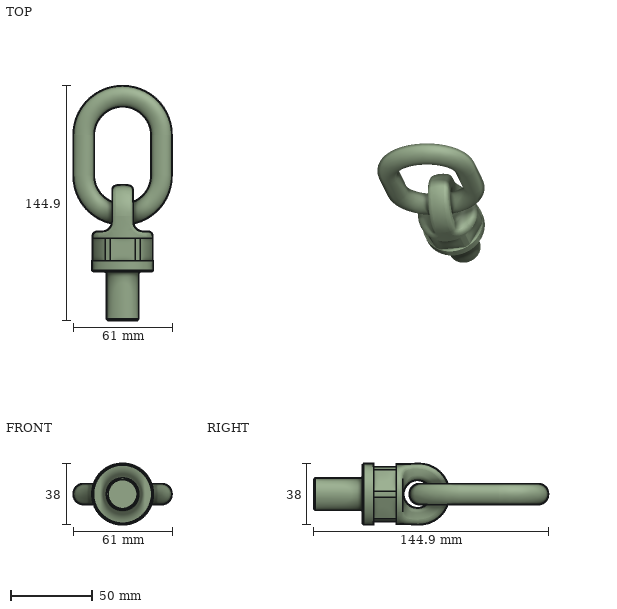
import cadquery as cq
import math


SHANK_DIAMETER = 20.0
SHANK_LENGTH = 30.0
SHANK_END_CHAMFER = 1.0
SHANK_ROOT_FILLET = 1.0
COLLAR_DIAMETER = 38.0
COLLAR_HEIGHT = 7.0
COLLAR_EDGE_CHAMFER = 1.0
HEX_ACROSS_FLATS = 33.9
HEX_HEIGHT = 13.9
HEX_TOP = COLLAR_HEIGHT + HEX_HEIGHT

HEAD_BASE_DIAMETER = 37.2
HEAD_BASE_RADIUS = HEAD_BASE_DIAMETER / 2
HEAD_TOP = 53.9
DOME_RADIUS = COLLAR_DIAMETER / 2
DOME_CENTRE = HEAD_TOP - DOME_RADIUS
EYE_THICKNESS = 13.0
EYE_HOLE_DIAMETER = 17.0
EYE_HOLE_CENTRE = 34.0
SHOULDER_HEIGHT = 25.0
NECK_FILLET = 6.1
HEAD_EDGE_FILLET = 3.0

OVERALL_LENGTH = 144.9
RING_WIRE_DIAMETER = 13.0
RING_WIDTH = 61.0
RING_STRAIGHT = 24.9
RING_BEND_RADIUS = (RING_WIDTH - RING_WIRE_DIAMETER) / 2
RING_TOP = OVERALL_LENGTH - SHANK_LENGTH
RING_UPPER_BEND = RING_TOP - RING_WIDTH / 2
RING_LOWER_BEND = RING_UPPER_BEND - RING_STRAIGHT


def cylinder_along_y(diameter, start, length):
    """Cylinder on the bolt axis from Y = start, growing towards +Y."""
    return cq.Workplane("XZ", origin=(0, start, 0)).circle(diameter / 2).extrude(-length)


def make_base():
    """Shank and collar with a hexagon whose corners are rounded to the head's lower diameter."""
    collar = cylinder_along_y(COLLAR_DIAMETER, 0, COLLAR_HEIGHT)
    collar = collar.faces("<Y").chamfer(COLLAR_EDGE_CHAMFER)
    shank = cylinder_along_y(SHANK_DIAMETER, -SHANK_LENGTH, SHANK_LENGTH)

    base = shank.union(collar)
    base = base.edges("not <Y").edges(cq.selectors.RadiusNthSelector(0)).fillet(SHANK_ROOT_FILLET)
    base = base.faces("<Y").chamfer(SHANK_END_CHAMFER)

    hex_across_corners = HEX_ACROSS_FLATS / math.cos(math.pi / 6)
    hexagon = (
        cq.Workplane("XZ", origin=(0, COLLAR_HEIGHT, 0))
        .polygon(6, hex_across_corners)
        .extrude(-HEX_HEIGHT)
        .intersect(cylinder_along_y(HEAD_BASE_DIAMETER, COLLAR_HEIGHT, HEX_HEIGHT))
    )

    return base.union(hexagon)


def make_head_blank():
    """Turned blank: a slightly conical flank that runs tangent into a spherical dome."""
    dome_rise = DOME_CENTRE - HEX_TOP
    slant = math.hypot(HEAD_BASE_RADIUS, dome_rise)
    tangent_angle = math.atan2(dome_rise, HEAD_BASE_RADIUS) - math.acos(DOME_RADIUS / slant)
    flank_top = (
        DOME_RADIUS * math.cos(tangent_angle),
        DOME_CENTRE - DOME_RADIUS * math.sin(tangent_angle),
    )
    dome_middle = (DOME_RADIUS * math.sqrt(0.5), DOME_CENTRE + DOME_RADIUS * math.sqrt(0.5))
    return (
        cq.Workplane("XY")
        .moveTo(0, HEX_TOP)
        .lineTo(HEAD_BASE_RADIUS, HEX_TOP)
        .lineTo(*flank_top)
        .threePointArc(dome_middle, (0, HEAD_TOP))
        .close()
        .revolve(360, (0, 0, 0), (0, 1, 0))
    )


def make_head():
    """Domed blank, necked on both sides to a flat eye and pierced along X."""
    head = make_head_blank()

    notch_width = HEAD_BASE_DIAMETER
    notch_height = HEAD_TOP
    notch_length = 2 * HEAD_BASE_DIAMETER
    inner_edges = {-1: ">X", 1: "<X"}
    for side, inner_edge in inner_edges.items():
        notch = (
            cq.Workplane("XY")
            .box(notch_width, notch_height, notch_length, centered=(True, False, True))
            .translate((side * (EYE_THICKNESS + notch_width) / 2, SHOULDER_HEIGHT, 0))
            .edges("<Y and |Z")
            .edges(inner_edge)
            .fillet(NECK_FILLET)
        )
        head = head.cut(notch)

    hole = (
        cq.Workplane("YZ", origin=(0, EYE_HOLE_CENTRE, 0))
        .circle(EYE_HOLE_DIAMETER / 2)
        .extrude(HEAD_BASE_DIAMETER, both=True)
    )
    head = head.cut(hole)
    return head.edges("not <Y").fillet(HEAD_EDGE_FILLET)


def make_ring():
    """Round wire bent to a long link lying in the XY plane."""
    path = (
        cq.Workplane("XY")
        .moveTo(RING_BEND_RADIUS, RING_LOWER_BEND)
        .lineTo(RING_BEND_RADIUS, RING_UPPER_BEND)
        .threePointArc((0, RING_UPPER_BEND + RING_BEND_RADIUS), (-RING_BEND_RADIUS, RING_UPPER_BEND))
        .lineTo(-RING_BEND_RADIUS, RING_LOWER_BEND)
        .threePointArc((0, RING_LOWER_BEND - RING_BEND_RADIUS), (RING_BEND_RADIUS, RING_LOWER_BEND))
        .close()
    )
    wire_section = cq.Workplane("XZ", origin=(RING_BEND_RADIUS, RING_LOWER_BEND, 0))
    return wire_section.circle(RING_WIRE_DIAMETER / 2).sweep(path)


base = make_base()
head = make_head()
ring = make_ring()

result = cq.Compound.makeCompound([base.val(), head.val(), ring.val()])